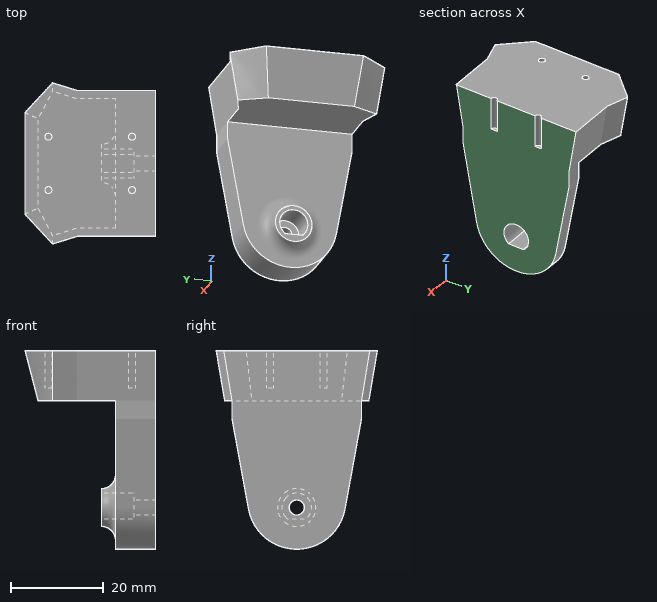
import cadquery as cq
import math

length = 28.13
width = 34.75
height = 42.8

head_height = 10.8
head_bottom = height - head_height
front_setback = 2.8
corner_x = 5.96
shoulder_x_top = 11.3
shoulder_x_bottom = 11.15
front_strip_x = 0.2
front_strip_y = 0.28
top_front_half = 10.9
top_corner_half = width / 2
top_side_half = 15.72
bottom_front_half = 9.65
bottom_corner_half = 15.55

screw_diameter = 1.5
screw_depth = 8.0
screw_spacing_x = 18.0
screw_spacing_y = 11.5
screw_center_x = 14.06

lug_thickness = 8.65
lug_front = length - lug_thickness
lug_half_width = 13.95
lug_straight_height = 4.0
lug_taper_start = head_bottom - lug_straight_height
lug_radius = 10.6

bore_z = 9.0
boss_height = 3.0
boss_radius = 4.1
boss_flare = boss_height
boss_front = lug_front - boss_height
through_diameter = 3.2
socket_radius = 3.15
socket_flat = 2.5
socket_depth = 7.0
cut_margin = 1.0


def head_outline(z, front_x, front_half, corner_half, shoulder_x, side_half):
    """Closed head outline at height z, mirrored about the XZ plane."""
    half = [
        (front_x, front_half),
        (front_x + front_strip_x, front_half + front_strip_y),
        (corner_x, corner_half),
        (shoulder_x, side_half),
        (length, side_half),
    ]
    mirrored = [(x, -y) for x, y in reversed(half)]
    points = half + mirrored
    return cq.Wire.makePolygon([cq.Vector(x, y, z) for x, y in points], close=True)


def make_head():
    """Block that tapers downward, with twisted faces at its two front corners."""
    bottom = head_outline(
        head_bottom, front_setback, bottom_front_half, bottom_corner_half, shoulder_x_bottom, lug_half_width
    )
    top = head_outline(height, 0, top_front_half, top_corner_half, shoulder_x_top, top_side_half)
    return cq.Workplane(cq.Solid.makeLoft([bottom, top], True))


def make_lug():
    """Hanging plate whose tapered sides run tangent into a round lower end."""
    rise = lug_taper_start - lug_radius
    reach = math.hypot(lug_half_width, rise)
    tangent_angle = math.atan2(rise, lug_half_width) - math.acos(lug_radius / reach)
    tangent_y = lug_radius * math.cos(tangent_angle)
    tangent_z = lug_radius + lug_radius * math.sin(tangent_angle)
    return (
        cq.Workplane("YZ", origin=(lug_front, 0, 0))
        .moveTo(-lug_half_width, head_bottom)
        .lineTo(-lug_half_width, lug_taper_start)
        .lineTo(-tangent_y, tangent_z)
        .threePointArc((0, 0), (tangent_y, tangent_z))
        .lineTo(lug_half_width, lug_taper_start)
        .lineTo(lug_half_width, head_bottom)
        .close()
        .extrude(lug_thickness)
    )


def make_boss():
    """Round boss that flares into the lug face with a concave quarter round."""
    flare_outer = boss_radius + boss_flare
    arc_offset = boss_flare * math.sqrt(0.5)
    return (
        cq.Workplane("XZ")
        .moveTo(boss_front, bore_z)
        .lineTo(boss_front, bore_z + boss_radius)
        .threePointArc(
            (boss_front + arc_offset, bore_z + flare_outer - arc_offset),
            (lug_front, bore_z + flare_outer),
        )
        .lineTo(lug_front, bore_z)
        .close()
        .revolve(360, (boss_front, bore_z), (lug_front, bore_z))
    )


def make_bore():
    """Flat-bottomed D socket in the boss, with a round hole on through the lug."""
    through_length = boss_height + lug_thickness + cut_margin
    through = (
        cq.Workplane("YZ", origin=(boss_front, 0, bore_z))
        .circle(through_diameter / 2)
        .extrude(through_length)
    )
    flat_half = math.sqrt(socket_radius**2 - socket_flat**2)
    socket = (
        cq.Workplane("YZ", origin=(boss_front, 0, bore_z))
        .moveTo(-flat_half, -socket_flat)
        .threePointArc((0, socket_radius), (flat_half, -socket_flat))
        .close()
        .extrude(socket_depth)
    )
    return through.union(socket)


def make_screw_holes():
    """Four blind holes in a rectangle, sunk from the top face."""
    return (
        cq.Workplane("XY", origin=(screw_center_x, 0, height))
        .rarray(screw_spacing_x, screw_spacing_y, 2, 2)
        .circle(screw_diameter / 2)
        .extrude(-screw_depth)
    )


body = make_head().union(make_lug()).union(make_boss())
result = body.cut(make_bore()).cut(make_screw_holes())